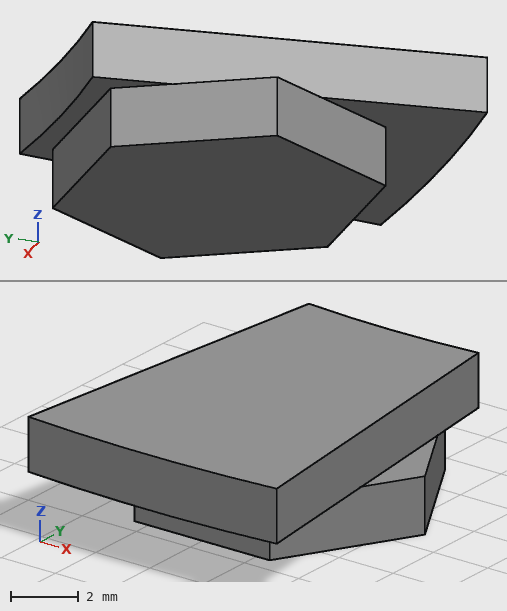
import cadquery as cq

hex_across_corners = 10.0
foot_height = 1.88

plate_thickness = 1.77
plate_length = 12.11
front_half_width = 4.59
back_half_width = 3.14
front_sag = 0.2
back_sag = 0.15
front_overhang = 6.98

front_y = -front_overhang
back_y = front_y + plate_length


def make_foot():
    return cq.Workplane("XY").polygon(6, hex_across_corners).extrude(foot_height)


def make_plate():
    return (
        cq.Workplane("XY")
        .workplane(offset=foot_height)
        .moveTo(-front_half_width, front_y + front_sag)
        .threePointArc((0, front_y), (front_half_width, front_y + front_sag))
        .lineTo(back_half_width, back_y)
        .threePointArc((0, back_y - back_sag), (-back_half_width, back_y))
        .close()
        .extrude(plate_thickness)
    )


result = make_foot().union(make_plate())